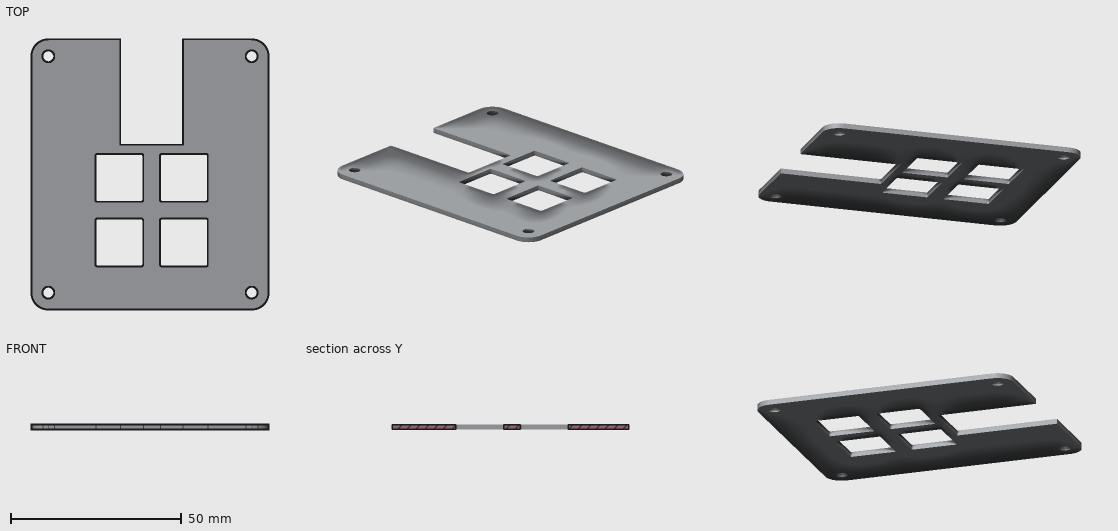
import cadquery as cq

plate_width = 69.8
plate_length = 79.5
plate_thickness = 1.5
corner_radius = 5.0

hole_diameter = 3.4
hole_spacing_x = plate_width - 2 * corner_radius
hole_spacing_y = plate_length - 2 * corner_radius

window_size = 14.0
window_pitch = 19.0
window_corner_radius = 0.5
grid_center_x = 0.5
grid_center_y = -10.5

notch_width = 18.4
notch_depth = 31.0


def make_plate():
    return (
        cq.Workplane("XY")
        .box(plate_width, plate_length, plate_thickness)
        .edges("|Z")
        .fillet(corner_radius)
    )


def make_mounting_holes():
    return (
        cq.Workplane("XY")
        .rarray(hole_spacing_x, hole_spacing_y, 2, 2)
        .circle(hole_diameter / 2)
        .extrude(plate_thickness, both=True)
    )


def make_windows():
    return (
        cq.Workplane("XY")
        .center(grid_center_x, grid_center_y)
        .rarray(window_pitch, window_pitch, 2, 2)
        .rect(window_size, window_size)
        .extrude(plate_thickness, both=True)
        .edges("|Z")
        .fillet(window_corner_radius)
    )


def make_notch():
    return (
        cq.Workplane("XY")
        .center(grid_center_x, plate_length / 2)
        .rect(notch_width, 2 * notch_depth)
        .extrude(plate_thickness, both=True)
    )


result = make_plate().cut(make_mounting_holes()).cut(make_windows()).cut(make_notch())